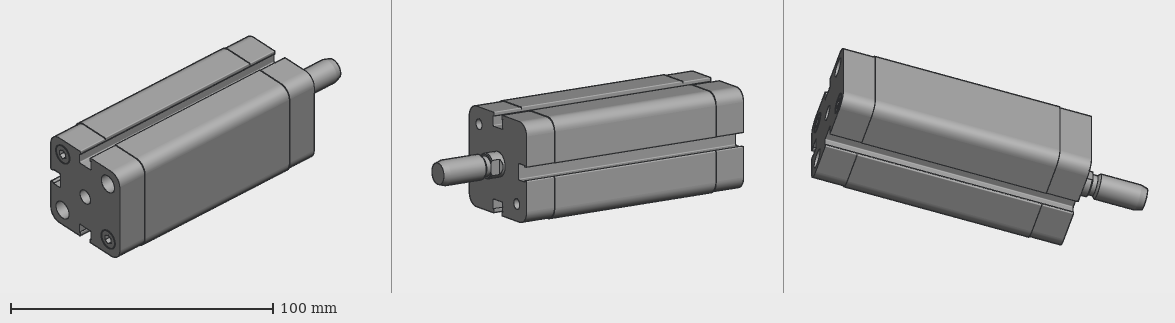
import cadquery as cq
import math


barrel_side = 40.1
cap_side = 39.6
corner_radius = 5.0
cap_length = 12.75
barrel_length = 74.0
housing_length = barrel_length + 2 * cap_length

slot_mouth_width = 5.5
slot_edge_radius = 0.4
slot_channel_width = 6.5
slot_lip_height = 18.2
slot_floor_height = 14.3
slot_angles = (0, -90, 180)

corner_hole_offset = 13.0
through_hole_diameter = 4.13
counterbore_diameter = 7.5
counterbore_depth = 8.0
center_hole_diameter = 6.0
center_hole_depth = 8.0

screw_gap_diameter = 8.0
screw_head_diameter = 7.5
screw_gap_depth = 0.2
hex_across_flats = 3.4
hex_depth = 4.0

rod_diameter = 10.0
rod_edge_chamfer = 0.4
rod_shoulder_length = 5.7
neck_diameter = 8.0
neck_length = 3.0
thread_diameter = 10.0
tip_diameter = 8.4
tip_chamfer_length = 2.7
rod_length = 27.5
rod_flat_width = 8.0
rod_flat_start = 1.9


def make_sensor_slot(side, length):
    """The space of one slot in the top of a bar, with rounded mouth, lip and floor edges."""
    radius = slot_edge_radius
    face_height = side / 2
    mouth_x = slot_mouth_width / 2
    channel_x = slot_channel_width / 2
    return (
        cq.Workplane("XZ")
        .moveTo(-mouth_x - radius, face_height)
        .radiusArc((-mouth_x, face_height - radius), radius)
        .lineTo(-mouth_x, slot_lip_height + radius)
        .radiusArc((-mouth_x - radius, slot_lip_height), radius)
        .lineTo(-channel_x, slot_lip_height)
        .lineTo(-channel_x, slot_floor_height + radius)
        .radiusArc((-channel_x + radius, slot_floor_height), -radius)
        .lineTo(channel_x - radius, slot_floor_height)
        .radiusArc((channel_x, slot_floor_height + radius), -radius)
        .lineTo(channel_x, slot_lip_height)
        .lineTo(mouth_x + radius, slot_lip_height)
        .radiusArc((mouth_x, slot_lip_height + radius), radius)
        .lineTo(mouth_x, face_height - radius)
        .radiusArc((mouth_x + radius, face_height), radius)
        .close()
        .extrude(-length)
    )


def make_section(side, start, length):
    """A slotted square bar along Y with rounded long edges."""
    bar = cq.Workplane("XY").box(side, length, side, centered=(True, False, True))
    bar = bar.edges("|Y").fillet(corner_radius)
    slot = make_sensor_slot(side, length)
    for angle in slot_angles:
        bar = bar.cut(slot.rotate((0, 0, 0), (0, 1, 0), angle))
    return bar.translate((0, start, 0))


def make_housing():
    rear_cap = make_section(cap_side, 0, cap_length)
    barrel = make_section(barrel_side, cap_length, barrel_length)
    front_cap = make_section(cap_side, cap_length + barrel_length, cap_length)
    return rear_cap.union(barrel).union(front_cap)


def rear_cylinder(diameter, depth, x=0, z=0):
    """A cylinder that starts on the rear face and runs into the part."""
    return cq.Workplane("XZ").center(x, z).circle(diameter / 2).extrude(-depth)


def make_counterbored_hole(x, z):
    through = rear_cylinder(through_hole_diameter, housing_length, x, z)
    return through.union(rear_cylinder(counterbore_diameter, counterbore_depth, x, z))


def make_screw_recess(x, z):
    """The gap around a screw head, together with its hexagon socket."""
    hex_corner_radius = hex_across_flats / math.sqrt(3)
    corner_angles = [math.radians(30 + 60 * i) for i in range(6)]
    corners = [(hex_corner_radius * math.cos(a), hex_corner_radius * math.sin(a)) for a in corner_angles]
    socket = cq.Workplane("XZ").center(x, z).polyline(corners).close().extrude(-hex_depth)
    recess = rear_cylinder(screw_gap_diameter, screw_gap_depth, x, z)
    gap = recess.cut(rear_cylinder(screw_head_diameter, screw_gap_depth, x, z))
    return gap.union(socket)


def make_rod():
    rod_radius = rod_diameter / 2
    neck_radius = neck_diameter / 2
    thread_radius = thread_diameter / 2
    neck_end = rod_shoulder_length + neck_length
    profile = [
        (0, 0),
        (rod_radius, 0),
        (rod_radius, rod_shoulder_length - rod_edge_chamfer),
        (rod_radius - rod_edge_chamfer, rod_shoulder_length),
        (neck_radius, rod_shoulder_length),
        (neck_radius, neck_end - (thread_radius - neck_radius)),
        (thread_radius, neck_end),
        (thread_radius, rod_length - tip_chamfer_length),
        (tip_diameter / 2, rod_length),
        (0, rod_length),
    ]
    rod = cq.Workplane("XY").polyline(profile).close().revolve(360, (0, 0, 0), (0, 1, 0))
    for side in (-1, 1):
        rod = rod.cut(make_wrench_flat(side))
    return rod.translate((0, housing_length, 0))


def make_wrench_flat(side):
    """The material beside one rod flat; its rear end runs out at 45 degrees."""
    inner = rod_flat_width / 2
    outer = rod_diameter / 2
    runout = outer - inner
    outline = [
        (side * inner, rod_flat_start),
        (side * outer, rod_flat_start - runout),
        (side * outer, rod_shoulder_length),
        (side * inner, rod_shoulder_length),
    ]
    return cq.Workplane("XY").polyline(outline).close().extrude(outer, both=True)


def make_cylinder():
    cylinder = make_housing()
    for side in (-1, 1):
        offset = side * corner_hole_offset
        cylinder = cylinder.cut(make_counterbored_hole(offset, offset))
        cylinder = cylinder.cut(make_screw_recess(offset, -offset))
    cylinder = cylinder.cut(rear_cylinder(center_hole_diameter, center_hole_depth))
    return cylinder.union(make_rod())


result = make_cylinder()